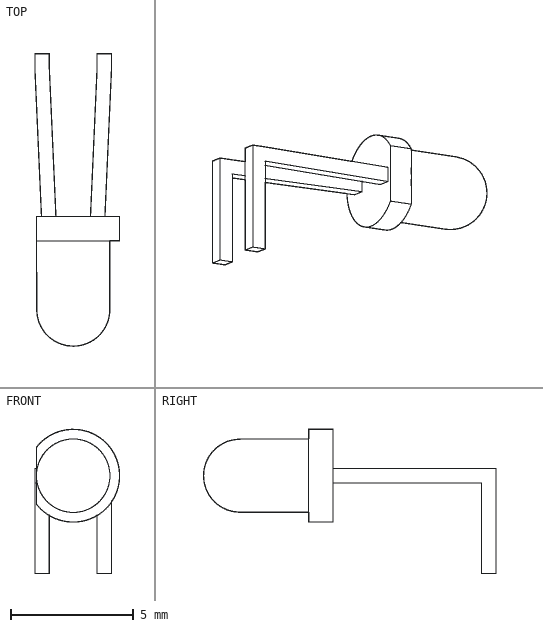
import cadquery as cq

LENS_DIAMETER = 3.0
LENS_RADIUS = LENS_DIAMETER / 2
BODY_LENGTH = 5.3

FLANGE_DIAMETER = 3.8
FLANGE_RADIUS = FLANGE_DIAMETER / 2
FLANGE_THICKNESS = 1.0
FLAT_OFFSET = LENS_RADIUS

LEAD_SIZE = 0.6
PITCH_AT_FLANGE = 2.0
PITCH_AT_BEND = 2.54
BEND_CENTER_Y = 6.35
LEAD_DROP = 4.0


def make_lens():
    """Cylinder closed by a hemispherical dome, starting at the flange back face."""
    dome_base = BODY_LENGTH - LENS_RADIUS
    profile = (
        cq.Workplane("XY")
        .lineTo(LENS_RADIUS, 0)
        .lineTo(LENS_RADIUS, -dome_base)
        .radiusArc((0, -BODY_LENGTH), LENS_RADIUS)
        .close()
    )
    return profile.revolve(360, (0, 0, 0), (0, 1, 0))


def make_flange():
    """Disc with a flat on its -X side."""
    disc = cq.Workplane("XZ").circle(FLANGE_RADIUS).extrude(FLANGE_THICKNESS)
    keep_width = FLAT_OFFSET + FLANGE_RADIUS
    keep = cq.Workplane("XY").box(keep_width, 2 * FLANGE_THICKNESS, FLANGE_DIAMETER)
    return disc.intersect(keep.translate(((FLANGE_RADIUS - FLAT_OFFSET) / 2, 0, 0)))


def make_lead(side):
    """Slanted run and vertical leg of one lead; side is -1 or +1 along X."""
    half_size = LEAD_SIZE / 2
    start_x = side * PITCH_AT_FLANGE / 2
    bend_x = side * PITCH_AT_BEND / 2
    bend_front_y = BEND_CENTER_Y - half_size
    run = (
        cq.Workplane("XY")
        .workplane(offset=-half_size)
        .moveTo(start_x - half_size, 0)
        .lineTo(start_x + half_size, 0)
        .lineTo(bend_x + half_size, bend_front_y)
        .lineTo(bend_x - half_size, bend_front_y)
        .close()
        .extrude(LEAD_SIZE)
    )
    leg = (
        cq.Workplane("XY")
        .workplane(offset=-LEAD_DROP)
        .center(bend_x, BEND_CENTER_Y)
        .rect(LEAD_SIZE, LEAD_SIZE)
        .extrude(LEAD_DROP + half_size)
    )
    return run.union(leg)


result = make_flange().union(make_lens())
for lead_side in (-1, 1):
    result = result.union(make_lead(lead_side))